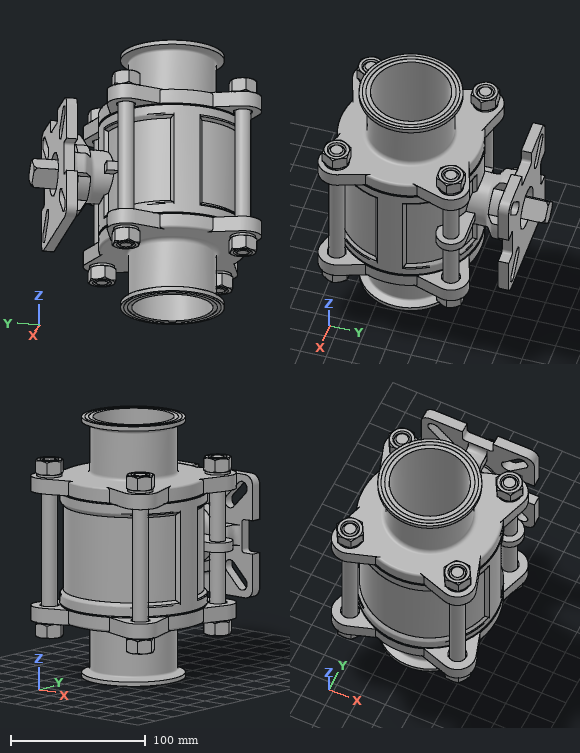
import cadquery as cq
import math


length = 197.0
flange_width = 116.6
overall_depth = 165.3

bore_radius = 60.3 / 2
tube_radius = 65.5 / 2
ferrule_radius = 77.5 / 2
ferrule_rim = 3.3
ferrule_slope = math.tan(math.radians(20))
ferrule_fillet = 1.8
gasket_groove_radius = 34.9
gasket_groove_width = 2.8

flange_bottom = 43.3
flange_top = 54.8
flange_radius = 110.0 / 2
flange_edge_fillet = 2.2
neck_fillet = 3.5
arc_half_width = 20.0
lobe_radius = 14.0
bolt_offset = flange_width / 2 - lobe_radius

bolt_radius = 12.0 / 2
bolt_hole_radius = 14.0 / 2
bolt_tip_chamfer = 1.4
nut_across_flats = 19.1
nut_top = 67.2
nut_chamfer = 1.5
nut_chamfer_height = 1.0
nut_mouth_radius = 14.0 / 2
washer_radius = 19.0 / 2
washer_height = 1.8

body_radius = 55.0
joint_radius = 54.4
joint_height = 1.0
recess_depth = 2.5
recess_half_height = 32.3
recess_edge_fillet = 1.5
rib_width = 19.7
rib_foot_width = 23.6

strap_left = -28.2
strap_end_radius = 11.2
strap_thickness = 7.0

housing_radius = 40.0 / 2
cone_start = 64.5
leg_radius = 31.0
leg_corner = 71.5
leg_width = 15.5
leg_inner = 21.7
leg_corner_fillet = 3.0
leg_root_fillet = 4.0
housing_fillet = 3.7
collar_radius = 23.0
collar_top = 75.8
plate_start = 81.5
plate_end = 89.8
plate_size = 93.5
plate_corner_radius = 7.7
plate_hole_radius = 32.3 / 2
notch_width = 25.2
notch_depth = 10.5
notch_fillet = 2.4
slot_width = 9.8
slot_inner = 24.6
slot_outer = 36.2
stem_end = overall_depth - flange_width / 2
stem_across_corners = 23.0
stem_chamfer = 2.0
stem_overlap = 2.0


def rounded_profile(plane, corners):
    """Closed wire through (u, v, radius) corners; a radius above zero rounds that corner."""
    path = []
    for i, (u, v, radius) in enumerate(corners):
        corner = cq.Vector(u, v)
        if radius == 0:
            path.append((corner, None, corner))
            continue
        before = cq.Vector(*corners[i - 1][:2]) - corner
        after = cq.Vector(*corners[(i + 1) % len(corners)][:2]) - corner
        half_angle = before.getAngle(after) / 2
        setback = radius / math.tan(half_angle)
        inward = (before.normalized() + after.normalized()).normalized()
        middle = corner + inward * (radius / math.sin(half_angle) - radius)
        path.append((corner + before.normalized() * setback, middle, corner + after.normalized() * setback))

    wire = cq.Workplane(plane).moveTo(path[0][0].x, path[0][0].y)
    for i, (start, middle, end) in enumerate(path):
        if i > 0:
            wire = wire.lineTo(start.x, start.y)
        if middle is not None:
            wire = wire.threePointArc((middle.x, middle.y), (end.x, end.y))
    return wire.close()


def around_z(corners):
    """Solid of revolution about Z from (radius, z, fillet) corners."""
    return rounded_profile("XZ", corners).revolve(360, (0, 0), (0, 1))


def around_y(corners):
    """Solid of revolution about Y from (radius, y, fillet) corners."""
    return rounded_profile("XY", corners).revolve(360, (0, 0), (0, 1))


def quarter_turns(solid, axis, count=4):
    """Union of the solid turned in steps of 90 degrees about an axis through the origin."""
    turned = solid
    for i in range(1, count):
        turned = turned.union(solid.rotate((0, 0, 0), axis, 90 * i))
    return turned


def make_tube_end():
    end = length / 2
    rim_bottom = end - ferrule_rim
    cone_bottom = rim_bottom - (ferrule_radius - tube_radius) * ferrule_slope
    neck_foot_radius = tube_radius + 2 * neck_fillet
    tube = around_z([
        (0, flange_bottom, 0),
        (neck_foot_radius, flange_bottom, 0),
        (neck_foot_radius, flange_top, 0),
        (tube_radius, flange_top, neck_fillet),
        (tube_radius, cone_bottom, ferrule_fillet),
        (ferrule_radius, rim_bottom, 0),
        (ferrule_radius, end, 0),
        (0, end, 0),
    ])
    groove = (
        cq.Workplane("XZ")
        .center(gasket_groove_radius, end)
        .circle(gasket_groove_width / 2)
        .revolve(360, (-gasket_groove_radius, 0), (-gasket_groove_radius, 1))
    )
    return tube.cut(groove)


def make_flange():
    """Four bolt lobes whose straight flanks run tangentially from the flange arcs."""
    thickness = flange_top - flange_bottom
    arc_end = (arc_half_width, math.sqrt(flange_radius**2 - arc_half_width**2))
    to_lobe = (bolt_offset - arc_end[0], bolt_offset - arc_end[1])
    distance = math.hypot(*to_lobe)
    flank_length = math.sqrt(distance**2 - lobe_radius**2)
    flank_angle = math.atan2(to_lobe[1], to_lobe[0]) + math.asin(lobe_radius / distance)
    tangent = (
        arc_end[0] + flank_length * math.cos(flank_angle),
        arc_end[1] + flank_length * math.sin(flank_angle),
    )
    lobe_tip = bolt_offset + lobe_radius * math.sqrt(0.5)

    def turn(point, quarter):
        for _ in range(quarter):
            point = (point[1], -point[0])
        return point

    outline = cq.Workplane("XY", origin=(0, 0, flange_bottom)).moveTo(-arc_end[0], arc_end[1])
    for quarter in range(4):
        outline = (
            outline.threePointArc(turn((0, flange_radius), quarter), turn(arc_end, quarter))
            .lineTo(*turn(tangent, quarter))
            .threePointArc(turn((lobe_tip, lobe_tip), quarter), turn(tangent[::-1], quarter))
            .lineTo(*turn((arc_end[1], arc_end[0]), quarter))
        )
    flange = outline.close().extrude(thickness)

    arc_edges = flange.faces(">Z").edges("%CIRCLE").filter(lambda edge: edge.radius() > 2 * lobe_radius)
    flange = arc_edges.fillet(flange_edge_fillet)

    holes = (
        cq.Workplane("XY", origin=(0, 0, flange_bottom))
        .rect(2 * bolt_offset, 2 * bolt_offset, forConstruction=True)
        .vertices()
        .circle(bolt_hole_radius)
        .extrude(thickness)
    )
    return flange.cut(holes)


def make_half_bolt():
    """Upper half of one tie bolt on the Z axis, with its washer and nut."""
    hex_bottom = flange_top + washer_height
    corner_radius = nut_across_flats / math.sqrt(3)
    hexagon = (
        cq.Workplane("XY", origin=(0, 0, hex_bottom))
        .polygon(6, 2 * corner_radius)
        .extrude(nut_top - hex_bottom)
    )
    chamfer_envelope = around_z([
        (0, hex_bottom, 0),
        (corner_radius - nut_chamfer, hex_bottom, 0),
        (corner_radius, hex_bottom + nut_chamfer_height, 0),
        (corner_radius, nut_top - nut_chamfer_height, 0),
        (corner_radius - nut_chamfer, nut_top, 0),
        (0, nut_top, 0),
    ])
    washer = (
        cq.Workplane("XY", origin=(0, 0, flange_top))
        .circle(washer_radius)
        .extrude(washer_height)
    )
    tip_groove = around_z([
        (bolt_radius - bolt_tip_chamfer, nut_top, 0),
        (bolt_radius, nut_top - bolt_tip_chamfer, 0),
        (nut_mouth_radius, nut_top, 0),
    ])
    shank = cq.Workplane("XY").circle(bolt_radius).extrude(nut_top)
    return hexagon.intersect(chamfer_envelope).union(washer).union(shank).cut(tip_groove)


def make_body():
    """Barrel with a recessed waist, interrupted by ribs at -X, +Y and +X."""
    recess_radius = body_radius - recess_depth
    ring_bottom = recess_half_height + recess_depth
    ring_top = flange_bottom - joint_height
    barrel = around_z([
        (0, -flange_bottom, 0),
        (joint_radius, -flange_bottom, 0),
        (joint_radius, -ring_top, 0),
        (body_radius, -ring_top, 0),
        (body_radius, -ring_bottom, recess_edge_fillet),
        (recess_radius, -recess_half_height, 0),
        (recess_radius, recess_half_height, 0),
        (body_radius, ring_bottom, recess_edge_fillet),
        (body_radius, ring_top, 0),
        (joint_radius, ring_top, 0),
        (joint_radius, flange_bottom, 0),
        (0, flange_bottom, 0),
    ])

    half_crest = rib_width / 2
    half_foot = rib_foot_width / 2
    crest = math.sqrt(body_radius**2 - half_crest**2)
    foot = math.sqrt(recess_radius**2 - half_foot**2)
    rib = (
        cq.Workplane("XY")
        .polyline([
            (0, half_foot),
            (0, -half_foot),
            (-foot, -half_foot),
            (-crest, -half_crest),
            (-body_radius, -half_crest),
            (-body_radius, half_crest),
            (-crest, half_crest),
            (-foot, half_foot),
        ])
        .close()
        .extrude(ring_top, both=True)
    )
    rib_limit = cq.Workplane("XY").circle(body_radius).extrude(ring_top, both=True)
    ribs = quarter_turns(rib, (0, 0, -1), 3).intersect(rib_limit)
    return barrel.union(ribs)


def make_strap():
    strap_length = bolt_offset - strap_left
    bar = cq.Workplane("XY").box(strap_length, 2 * strap_end_radius, strap_thickness)
    bar = bar.translate((bolt_offset - strap_length / 2, bolt_offset, 0))
    end = (
        cq.Workplane("XY")
        .center(bolt_offset, bolt_offset)
        .circle(strap_end_radius)
        .extrude(strap_thickness / 2, both=True)
    )
    return bar.union(end)


def make_stem_housing():
    cone_slope = (leg_corner - cone_start) / (leg_radius - housing_radius)
    collar_bottom = cone_start + (collar_radius - housing_radius) * cone_slope
    housing = around_y([
        (0, tube_radius, 0),
        (housing_radius, tube_radius, 0),
        (housing_radius, cone_start, housing_fillet),
        (collar_radius, collar_bottom, 0),
        (collar_radius, collar_top, 0),
        (0, collar_top, 0),
    ])

    leg_bottom = cone_start + (leg_inner - housing_radius) * cone_slope
    legs_ring = around_y([
        (leg_inner, leg_bottom, 0),
        (leg_radius, leg_corner, leg_corner_fillet),
        (leg_radius, plate_start, leg_root_fillet),
        (leg_radius + 2 * leg_root_fillet, plate_start, 0),
        (leg_radius + 2 * leg_root_fillet, plate_end, 0),
        (leg_inner, plate_end, 0),
    ])
    leg_blank = cq.Workplane("XY").box(plate_size, plate_end, leg_width)
    leg_blank = leg_blank.cut(cq.Workplane("XY").box(2 * leg_inner, plate_end, leg_width))
    leg_blank = leg_blank.translate((0, plate_start - plate_end / 2, 0))
    legs = quarter_turns(leg_blank, (0, 1, 0), 2).intersect(legs_ring)
    return housing.union(legs)


def make_bracket_plate():
    thickness = plate_end - plate_start
    plane = cq.Plane(origin=(0, plate_start, 0), xDir=(1, 0, 0), normal=(0, 1, 0))
    plate = (
        cq.Workplane(plane)
        .rect(plate_size, plate_size)
        .circle(plate_hole_radius)
        .extrude(thickness)
        .edges("|Y and (>X or <X)")
        .fillet(plate_corner_radius)
    )

    notch = (
        cq.Workplane(plane)
        .center(-plate_size / 2, 0)
        .rect(2 * notch_depth, notch_width)
        .extrude(thickness)
        .edges("|Y")
        .fillet(notch_fillet)
    )
    slot_middle = (slot_inner + slot_outer) / 2
    slot_length = (slot_outer - slot_inner) * math.sqrt(2) + slot_width
    slot = (
        cq.Workplane(plane)
        .center(slot_middle, slot_middle)
        .slot2D(slot_length, slot_width, 45)
        .extrude(thickness)
    )
    plate = plate.cut(quarter_turns(notch, (0, 1, 0), 3))
    return plate.cut(quarter_turns(slot, (0, 1, 0)))


def make_stem():
    """Square stem standing on its corner, with the corners turned down at the tip."""
    corner_radius = stem_across_corners / 2
    side = stem_across_corners / math.sqrt(2)
    stem_length = stem_end - collar_top + stem_overlap
    square = cq.Workplane("XY").box(side, stem_length, side)
    square = square.translate((0, stem_end - stem_length / 2, 0)).rotate((0, 0, 0), (0, 1, 0), 45)
    envelope = around_y([
        (0, 0, 0),
        (corner_radius, 0, 0),
        (corner_radius, stem_end - stem_chamfer, 0),
        (corner_radius - stem_chamfer, stem_end, 0),
        (0, stem_end, 0),
    ])
    return square.intersect(envelope)


upper_end = make_tube_end().union(make_flange())
half_bolt = make_half_bolt()
upper_half = upper_end
for x in (-bolt_offset, bolt_offset):
    for y in (-bolt_offset, bolt_offset):
        upper_half = upper_half.union(half_bolt.translate((x, y, 0)))

valve = upper_half.union(upper_half.mirror("XY"))
valve = valve.union(make_body())
valve = valve.union(make_strap())
valve = valve.union(make_stem_housing())
valve = valve.union(make_bracket_plate())
valve = valve.union(make_stem())

flow_bore = cq.Workplane("XY").circle(bore_radius).extrude(length / 2, both=True)
result = valve.cut(flow_bore)